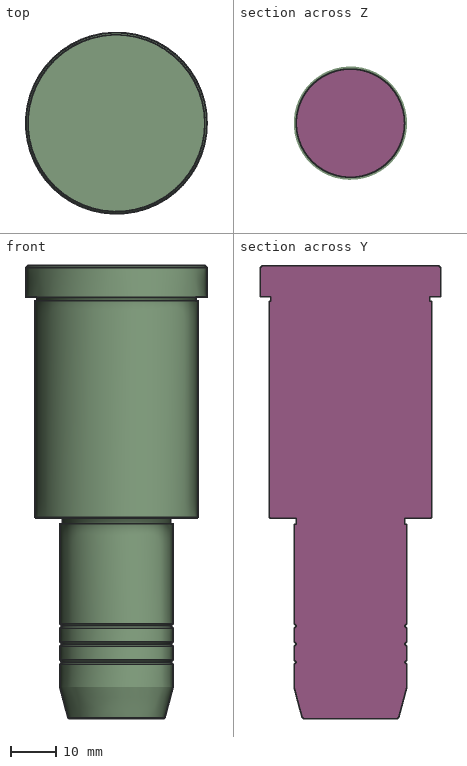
import cadquery as cq
import math

total_length = 100.0
head_height = 7.0
body_bottom = 44.2
shank_top = 43.0
taper_height = 7.0

head_radius = 20.0
body_radius = 18.0
shank_radius = 12.5

head_chamfer = 0.5
body_chamfer = 0.3
tip_chamfer = 0.3
head_relief_depth = 0.4
head_relief_height = 0.8
neck_depth = 0.5
taper_angle = 15.0

groove_count = 3
lowest_groove_center = 12.5
groove_pitch = 4.0
groove_depth = 0.5

head_bottom = total_length - head_height
head_relief_bottom = head_bottom - head_relief_height
head_relief_radius = body_radius - head_relief_depth
neck_radius = shank_radius - neck_depth
tip_radius = shank_radius - taper_height * math.tan(math.radians(taper_angle))


def step(bottom, top, radius):
    """Coaxial cylinder between two heights."""
    return cq.Workplane("XY").workplane(offset=bottom).circle(radius).extrude(top - bottom)


def tapered_tip():
    """Lead-in cone with a broken bottom edge."""
    profile = [(0, 0), (tip_radius, 0), (shank_radius, taper_height), (0, taper_height)]
    cone = cq.Workplane("XZ").polyline(profile).close().revolve(360, (0, 0), (0, 1))
    return cone.faces("<Z").chamfer(tip_chamfer)


def v_groove(center):
    """Ring with a 90 degree V section, open toward the outside."""
    profile = [
        (shank_radius - groove_depth, center),
        (shank_radius + groove_depth, center + 2 * groove_depth),
        (shank_radius + groove_depth, center - 2 * groove_depth),
    ]
    return cq.Workplane("XZ").polyline(profile).close().revolve(360, (0, 0), (0, 1))


head = step(head_bottom, total_length, head_radius).faces(">Z").chamfer(head_chamfer)
head_relief = step(head_relief_bottom, head_bottom, head_relief_radius)
body = step(body_bottom, head_relief_bottom, body_radius).faces("<Z").chamfer(body_chamfer)
neck = step(shank_top, body_bottom, neck_radius)
shank = step(taper_height, shank_top, shank_radius)
result = tapered_tip().union(shank).union(neck).union(body).union(head_relief).union(head)

for index in range(groove_count):
    result = result.cut(v_groove(lowest_groove_center + index * groove_pitch))